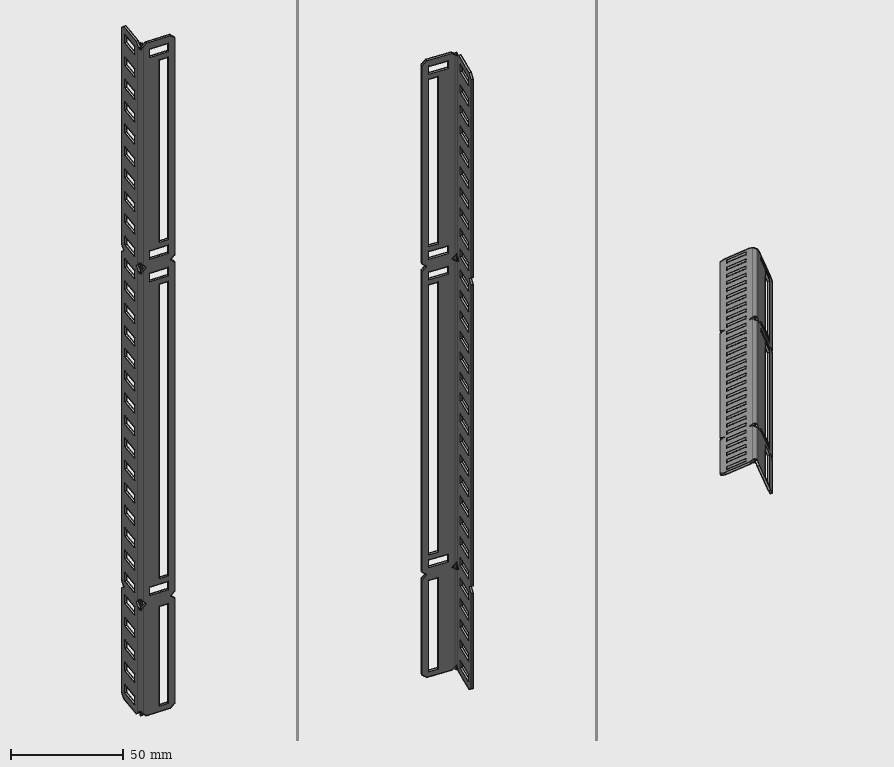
import cadquery as cq

leg = 17.78
length = 381.0
thickness = 1.1
outer_bend_radius = 1.9
inner_bend_radius = outer_bend_radius - thickness

pitch = 12.7
window_count = round(length / pitch)
window_width = 9.5
window_height = 4.7
window_margin = 3.2

y_leg_windows = [5, 19, 20, 29]

slot_width = window_height
slot_web = pitch / 4
slot_snap_margin = 3.95

snap_lines = [5 * pitch, 20 * pitch]
notch_depth = 2.2
bend_notch_depth = thickness + notch_depth

x_min = -leg / 2
x_max = leg / 2
y_min = -leg / 2
y_max = leg / 2
x_inner = x_max - thickness
y_inner = y_min + thickness

x_near = x_min + window_margin
y_near = y_max - window_margin


def window_z(index):
    """Height of the middle of a window counted from the lower end."""
    return (index + 0.5) * pitch


def vertical_edge_at(x, y):
    """Selector for the full-length edge at the given corner."""
    return cq.selectors.NearestToPointSelector((x, y, length / 2))


def make_angle():
    """L-shaped strip with a rounded bend."""
    outline = [
        (x_min, y_min),
        (x_max, y_min),
        (x_max, y_max),
        (x_inner, y_max),
        (x_inner, y_inner),
        (x_min, y_inner),
    ]
    strip = cq.Workplane("XY").polyline(outline).close().extrude(length)
    strip = strip.edges(vertical_edge_at(x_max, y_min)).fillet(outer_bend_radius)
    return strip.edges(vertical_edge_at(x_inner, y_inner)).fillet(inner_bend_radius)


def x_leg_plane():
    """Plane on the outside of the X leg: local X is X, local Y is Z, normal points outward."""
    return cq.Workplane("XZ", origin=(0, y_min, 0))


def y_leg_plane():
    """Plane on the outside of the Y leg: local X is Y, local Y is Z, normal points outward."""
    return cq.Workplane("YZ", origin=(x_max, 0, 0))


def rectangle_cutter(leg_plane, side_a, side_b, z_low, z_high):
    """Rectangular punch through one leg."""
    center = ((side_a + side_b) / 2, (z_low + z_high) / 2)
    return leg_plane.center(*center).rect(abs(side_b - side_a), z_high - z_low).extrude(-thickness)


def diamond_cutter(leg_plane, side, z, depth):
    """Square punch standing on its corner, centred on a side of one leg."""
    corners = [
        (side - depth, z),
        (side, z + depth),
        (side + depth, z),
        (side, z - depth),
    ]
    return leg_plane.polyline(corners).close().extrude(-thickness)


def cut_windows(strip, leg_plane, near_side, far_side, indices):
    """Row of equal windows in one leg."""
    for index in indices:
        z_low = window_z(index) - window_height / 2
        z_high = z_low + window_height
        strip = strip.cut(rectangle_cutter(leg_plane(), near_side, far_side, z_low, z_high))
    return strip


def cut_long_slots(strip):
    """Slots of the Y leg, one below the lowest window and two between windows."""
    middle_low, middle_high, upper_low, upper_high = y_leg_windows
    clearance = window_height / 2 + slot_web
    spans = [
        (slot_web, snap_lines[0] - slot_snap_margin),
        (window_z(middle_low) + clearance, window_z(middle_high) - clearance),
        (window_z(upper_low) + clearance, window_z(upper_high) - clearance),
    ]
    for z_low, z_high in spans:
        strip = strip.cut(rectangle_cutter(y_leg_plane(), y_near, y_near - slot_width, z_low, z_high))
    return strip


def cut_notches(strip):
    """Notches on both free edges and across the bend."""
    for z in [0, *snap_lines, length]:
        strip = strip.cut(diamond_cutter(x_leg_plane(), x_min, z, notch_depth))
        strip = strip.cut(diamond_cutter(y_leg_plane(), y_max, z, notch_depth))
        strip = strip.cut(diamond_cutter(x_leg_plane(), x_max, z, bend_notch_depth))
        strip = strip.cut(diamond_cutter(y_leg_plane(), y_min, z, bend_notch_depth))
    return strip


result = make_angle()
result = cut_windows(result, x_leg_plane, x_near, x_near + window_width, range(window_count))
result = cut_windows(result, y_leg_plane, y_near, y_near - window_width, y_leg_windows)
result = cut_long_slots(result)
result = cut_notches(result)